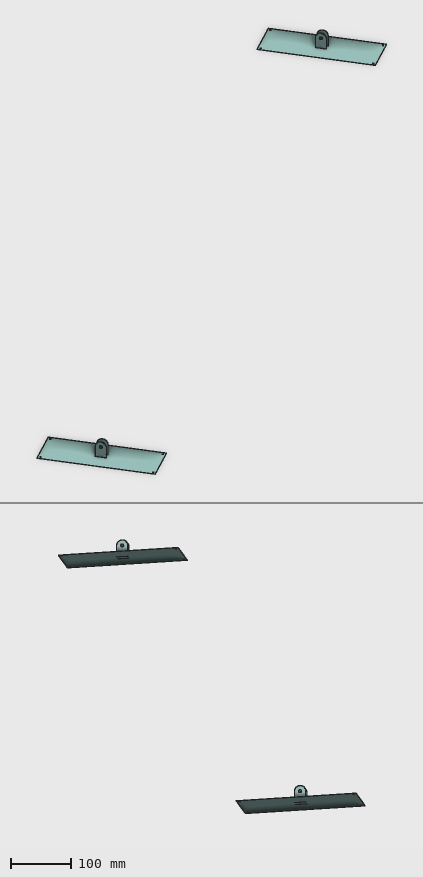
import cadquery as cq

sheet_thickness = 0.5

plate_length = 203.0
plate_width = 72.0
overall_span = 1472.0
plate_offset = (overall_span - plate_width) / 2

corner_hole_diameter = 2.2
corner_hole_inset = 5.0

overall_height = 30.0
lug_spacing = 11.0
lug_radius = 9.5
lug_hole_height = overall_height - lug_radius
lug_hole_diameter = 5.0


def make_plate():
    """Flat rectangular plate with a small through hole in each corner."""
    return (
        cq.Workplane("XY")
        .box(plate_length, plate_width, sheet_thickness, centered=(True, True, False))
        .faces(">Z")
        .workplane()
        .rect(
            plate_length - 2 * corner_hole_inset,
            plate_width - 2 * corner_hole_inset,
            forConstruction=True,
        )
        .vertices()
        .hole(corner_hole_diameter)
    )


def make_lug(center_y):
    """Upright lug standing on the bottom plane, with a round top and a pin hole."""
    return (
        cq.Workplane("XZ", origin=(0, center_y + sheet_thickness / 2, 0))
        .moveTo(-lug_radius, 0)
        .lineTo(lug_radius, 0)
        .lineTo(lug_radius, lug_hole_height)
        .threePointArc((0, overall_height), (-lug_radius, lug_hole_height))
        .close()
        .moveTo(0, lug_hole_height)
        .circle(lug_hole_diameter / 2)
        .extrude(sheet_thickness)
    )


def make_bracket(center_y):
    """Plate and its two lugs as one solid, centered at the given Y."""
    bracket = make_plate()
    for side in (-1, 1):
        bracket = bracket.union(make_lug(side * lug_spacing / 2))
    return bracket.translate((0, center_y, 0))


brackets = [make_bracket(side * plate_offset) for side in (-1, 1)]

result = cq.Compound.makeCompound([bracket.val() for bracket in brackets])